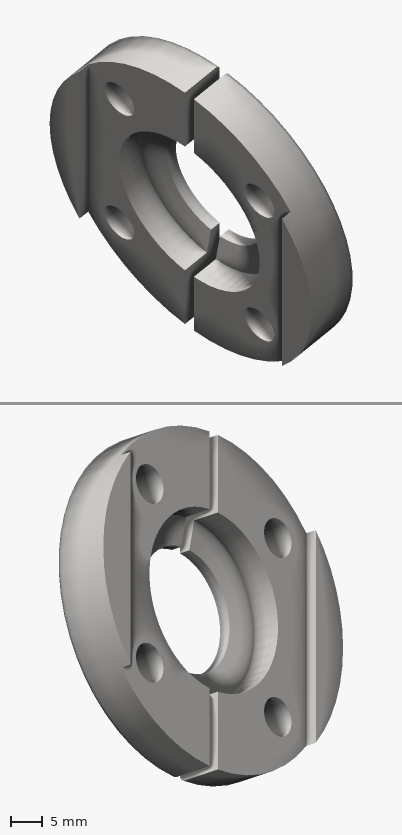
import cadquery as cq

outer_diameter = 57.0
thickness = 10.0
rim_fillet = 1.0
split_gap = 1.95

pad_height = 2.0
channel_width = 44.0

bore_diameter = 21.0
counterbore_diameter = 30.55
counterbore_depth = 5.0
land_length = 2.0

hole_diameter = 6.5
hole_spacing = 30.45

outer_radius = outer_diameter / 2
bore_radius = bore_diameter / 2
counterbore_radius = counterbore_diameter / 2
seat_start = pad_height + counterbore_depth
land_start = thickness - land_length


def make_ring():
    """Revolve the stepped section about Y and round the back outer rim."""
    section = (
        cq.Workplane("XY")
        .moveTo(counterbore_radius, 0)
        .lineTo(outer_radius, 0)
        .lineTo(outer_radius, thickness - rim_fillet)
        .radiusArc((outer_radius - rim_fillet, thickness), -rim_fillet)
        .lineTo(bore_radius, thickness)
        .lineTo(bore_radius, land_start)
        .lineTo(counterbore_radius, seat_start)
        .close()
    )
    return section.revolve(360, (0, 0, 0), (0, 1, 0))


def cut_channel(ring):
    """Lower the front face between the two side pads."""
    channel = cq.Workplane("XY").box(
        channel_width, pad_height, outer_diameter, centered=(True, False, True)
    )
    return ring.cut(channel)


def drill_screw_holes(ring):
    """Drill the four through holes along Y."""
    holes = (
        cq.Workplane("XZ")
        .rect(hole_spacing, hole_spacing, forConstruction=True)
        .vertices()
        .circle(hole_diameter / 2)
        .extrude(-thickness)
    )
    return ring.cut(holes)


def make_half_ring(ring, side):
    """Keep the part of the ring on one side (-1 left, +1 right) of the split gap."""
    half_width = outer_radius - split_gap / 2
    center_x = side * (split_gap / 2 + half_width / 2)
    keep = (
        cq.Workplane("XY")
        .box(half_width, thickness, outer_diameter, centered=(True, False, True))
        .translate((center_x, 0, 0))
    )
    return ring.intersect(keep)


full_ring = drill_screw_holes(cut_channel(make_ring()))

half_rings = []
for side in (-1, 1):
    half_rings.append(make_half_ring(full_ring, side).val())

result = cq.Compound.makeCompound(half_rings)